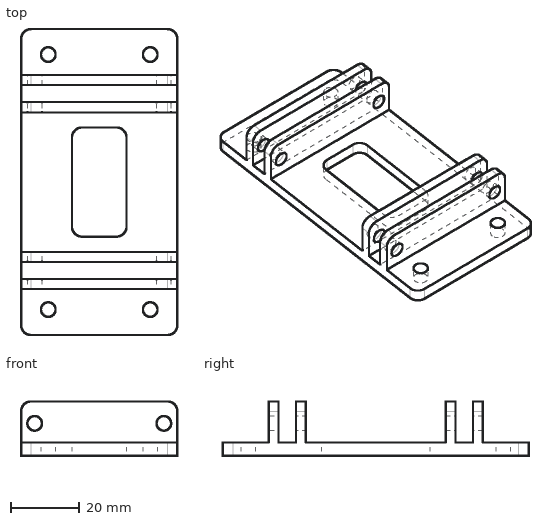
import cadquery as cq

length = 90.0
width = 46.0
plate_thickness = 4.0
corner_radius = 3.0
hole_diameter = 4.2
plate_hole_spacing_x = 30.0
plate_hole_spacing_y = 75.0

window_width = 16.0
window_length = 32.0

total_height = 16.0
wall_thickness = 3.0
wall_gap = 5.0
pair_center_y = 26.0
wall_hole_spacing = 38.0
wall_hole_height = 9.5


def make_plate():
    """Rounded plate with its underside at Z = 0, four holes and a window."""
    plate = (
        cq.Workplane("XY")
        .rect(width, length)
        .extrude(plate_thickness)
        .edges("|Z")
        .fillet(corner_radius)
    )
    holes = (
        cq.Workplane("XY")
        .rect(plate_hole_spacing_x, plate_hole_spacing_y, forConstruction=True)
        .vertices()
        .circle(hole_diameter / 2)
        .extrude(plate_thickness)
    )
    window = (
        cq.Workplane("XY")
        .rect(window_width, window_length)
        .extrude(plate_thickness)
        .edges("|Z")
        .fillet(corner_radius)
    )
    return plate.cut(holes).cut(window)


def make_wall(center_y):
    """Upright wall with rounded top corners and a hole near each end."""
    wall = (
        cq.Workplane("XY")
        .box(width, wall_thickness, total_height - plate_thickness, centered=(True, True, False))
        .edges("|Y and >Z")
        .fillet(corner_radius)
        .translate((0, center_y, plate_thickness))
    )
    holes = (
        cq.Workplane("XZ", origin=(0, center_y, wall_hole_height))
        .pushPoints([(-wall_hole_spacing / 2, 0), (wall_hole_spacing / 2, 0)])
        .circle(hole_diameter / 2)
        .extrude(wall_thickness, both=True)
    )
    return wall.cut(holes)


result = make_plate()
wall_offset = (wall_gap + wall_thickness) / 2
for side in (-1, 1):
    for offset in (-wall_offset, wall_offset):
        result = result.union(make_wall(side * pair_center_y + offset))